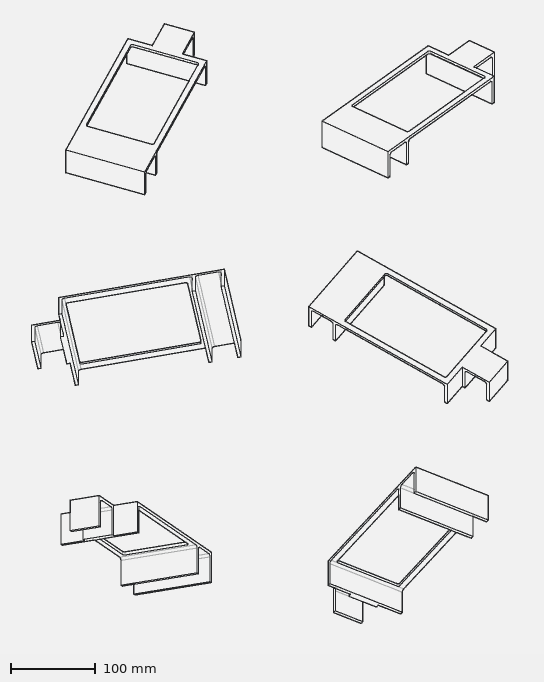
import cadquery as cq

length = 238.0
width = 100.0
height = 38.0

thickness = 4.0
channel_gap = 30.7
channel_length = channel_gap + 2 * thickness
tab_width = 38.0
inner_radius = 3.0

window_rim = 7.1
window_front = 46.2
window_radius = 2.1

frame_length = length - channel_length
frame_gap = frame_length - channel_length - thickness
overlap = thickness


def block(block_width, y_start, block_length):
    """Full-height block centred on X, starting at y_start."""
    return cq.Workplane("XY").box(
        block_width, block_length, height, centered=(True, False, False)
    ).translate((0, y_start, 0))


def underside_space(space_width, y_start, space_length):
    """Space below the plate, rounded where walls meet the plate."""
    space_height = height - thickness + overlap
    space = cq.Workplane("XY").box(
        space_width, space_length, space_height, centered=(True, False, False)
    )
    space = space.edges("|X and >Z").fillet(inner_radius)
    return space.translate((0, y_start, -overlap))


frame = block(width, 0, frame_length)
frame = frame.cut(underside_space(width, thickness, channel_gap))
frame = frame.cut(underside_space(width, channel_length, frame_gap))

tab = block(tab_width, frame_length, channel_length)
tab = tab.cut(underside_space(tab_width, frame_length + thickness, channel_gap))

window = (
    cq.Workplane("XY")
    .box(
        width - 2 * window_rim,
        frame_length - window_front - window_rim,
        height,
        centered=(True, False, False),
    )
    .edges("|Z")
    .fillet(window_radius)
    .translate((0, window_front, 0))
)

result = frame.cut(window).union(tab)